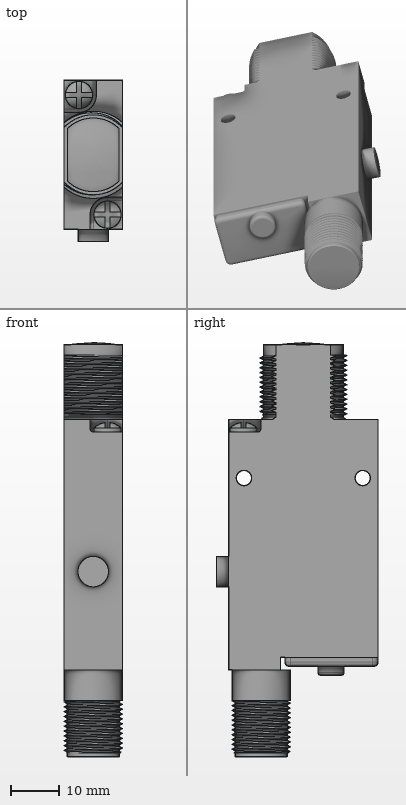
import cadquery as cq
import math

CONNECTOR_TIP_Z = 0.0
CONNECTOR_THREAD_BOTTOM_Z = 0.9
CONNECTOR_THREAD_TOP_Z = 11.7
BODY_BOTTOM_Z = 18.0
RECESS_Z = 20.6
BUTTON_Z = 38.3
MOUNTING_HOLE_Z = 57.6
BODY_TOP_Z = 69.7
NECK_THREAD_BOTTOM_Z = 70.6
NECK_THREAD_TOP_Z = 83.0
RIM_Z = 85.1
LENS_APEX_Z = 85.53

BODY_WIDTH = 12.09
BODY_LENGTH = 30.8
TOTAL_LENGTH = 33.32
FRONT_Y = -BODY_LENGTH / 2
BACK_Y = BODY_LENGTH / 2
RECESS_FRONT_Y = -4.7
MOUNTING_HOLE_DIAMETER = 3.1
MOUNTING_HOLE_SPACING = 24.5

BUTTON_DIAMETER = 6.3
BUTTON_PROTRUSION = TOTAL_LENGTH - BODY_LENGTH

THREAD_PITCH = 1.0
THREAD_BASE_WIDTH = 0.8 * THREAD_PITCH
THREAD_EMBED = 0.1
THREAD_CLEARANCE = 0.1
NECK_CORE_RADIUS = 8.25
NECK_THREAD_RADIUS = 9.0
NECK_FLARE = 0.5
NECK_FLARE_ANGLE = 45
CONNECTOR_RADIUS = 6.0
CONNECTOR_CORE_RADIUS = 5.4
CONNECTOR_TIP_CHAMFER = 0.2
CONNECTOR_THREAD_LEAD_IN = 0.5
CONNECTOR_Y = -8.7

LENS_RADIUS = 7.6
LENS_WIDTH = 10.6
LENS_EDGE_DEPTH = 0.6
LENS_SAG = LENS_APEX_Z - RIM_Z + LENS_EDGE_DEPTH

SCREW_RADIUS = 2.8
SCREW_X = 2.95
SCREW_Y = 12.35
SCREW_SIDE_HEIGHT = 0.85
SCREW_DOME_HEIGHT = 1.15
SCREW_SLOT_WIDTH = 1.05
POCKET_RADIUS = 3.6
POCKET_DEPTH = 2.6
POCKET_FLOOR_FILLET = 0.7

PLATE_FRONT_Y = -3.8
PLATE_WIDTH = 11.5
PLATE_THICKNESS = 1.85
PLATE_CORNER_FILLET = 1.1
PLATE_BOTTOM_FILLET = 0.85
KNOB_X = -2.8
KNOB_Y = 5.7
KNOB_RADIUS = 2.7
KNOB_HEIGHT = 1.85
KNOB_FILLET = 0.6


def block(x_size, y_min, y_max, z_min, z_max):
    """Box centred on X between the given Y and Z limits."""
    return (
        cq.Workplane("XY", origin=(0, (y_min + y_max) / 2, z_min))
        .box(x_size, y_max - y_min, z_max - z_min, centered=(True, True, False))
    )


def cylinder(radius, x, y, z_min, z_max):
    """Vertical cylinder between two heights."""
    return cq.Workplane("XY", origin=(x, y, z_min)).circle(radius).extrude(z_max - z_min)


def dome(base_radius, height, x, y, z):
    """Spherical cap standing on the given height."""
    rim_angle = math.atan2(height, base_radius)
    sphere_radius = base_radius / math.sin(2 * rim_angle)
    mid_x = sphere_radius * math.sin(rim_angle)
    mid_z = height - sphere_radius * (1 - math.cos(rim_angle))
    return (
        cq.Workplane("XZ")
        .moveTo(0, 0)
        .lineTo(base_radius, 0)
        .threePointArc((mid_x, mid_z), (0, height))
        .close()
        .revolve(360, (0, 0, 0), (0, 1, 0))
        .translate((x, y, z))
    )


def thread_ridge(core_radius, crest_radius, z_min, z_max, lead_in=0):
    """Helical V-shaped ridge about the Z axis, trimmed flat at both ends.

    A lead-in above zero also tapers the crest at the lower end.
    """
    start_z = z_min - THREAD_PITCH
    root_radius = core_radius - THREAD_EMBED
    height = z_max - z_min + 2 * THREAD_PITCH
    helix = cq.Wire.makeHelix(THREAD_PITCH, height, root_radius).translate(cq.Vector(0, 0, start_z))
    ridge = (
        cq.Workplane("XZ")
        .moveTo(root_radius, start_z - THREAD_BASE_WIDTH / 2)
        .lineTo(root_radius, start_z + THREAD_BASE_WIDTH / 2)
        .lineTo(crest_radius, start_z)
        .close()
        .sweep(cq.Workplane(helix), isFrenet=True)
    )
    envelope = cylinder(crest_radius + THREAD_CLEARANCE, 0, 0, z_min, z_max)
    if lead_in > 0:
        envelope = envelope.faces("<Z").chamfer(lead_in)
    return ridge.intersect(envelope)


def make_housing():
    body = block(BODY_WIDTH, FRONT_Y, BACK_Y, BODY_BOTTOM_Z, BODY_TOP_Z)
    recess = block(BODY_WIDTH, RECESS_FRONT_Y, BACK_Y, BODY_BOTTOM_Z, RECESS_Z)
    holes = (
        cq.Workplane("YZ", origin=(-BODY_WIDTH / 2, 0, MOUNTING_HOLE_Z))
        .pushPoints([(-MOUNTING_HOLE_SPACING / 2, 0), (MOUNTING_HOLE_SPACING / 2, 0)])
        .circle(MOUNTING_HOLE_DIAMETER / 2)
        .extrude(BODY_WIDTH)
    )
    button = (
        cq.Workplane("XZ", origin=(0, FRONT_Y, BUTTON_Z))
        .circle(BUTTON_DIAMETER / 2)
        .extrude(BUTTON_PROTRUSION)
    )
    return body.cut(recess).cut(holes).union(button)


def make_neck():
    """Threaded neck with two flats, flared at its foot and holding the domed lens."""
    core = cylinder(NECK_CORE_RADIUS, 0, 0, BODY_TOP_Z, RIM_Z)
    flare = (
        cq.Workplane("XY", origin=(0, 0, BODY_TOP_Z))
        .circle(NECK_CORE_RADIUS + NECK_FLARE)
        .extrude(NECK_FLARE, taper=NECK_FLARE_ANGLE)
    )
    ridge = thread_ridge(NECK_CORE_RADIUS, NECK_THREAD_RADIUS, NECK_THREAD_BOTTOM_Z, NECK_THREAD_TOP_Z)
    flats_half_length = NECK_THREAD_RADIUS + THREAD_CLEARANCE
    flats = block(BODY_WIDTH, -flats_half_length, flats_half_length, BODY_TOP_Z, RIM_Z)
    neck = core.union(ridge).union(flare).intersect(flats)

    lens_base_z = RIM_Z - LENS_EDGE_DEPTH
    lens_outline = block(LENS_WIDTH, -LENS_RADIUS, LENS_RADIUS, lens_base_z, LENS_APEX_Z)
    seat = cylinder(LENS_RADIUS, 0, 0, lens_base_z, RIM_Z).intersect(lens_outline)
    lens = dome(LENS_RADIUS, LENS_SAG, 0, 0, lens_base_z).intersect(lens_outline)
    return neck.cut(seat).union(lens)


def make_connector():
    """Round shoulder with a threaded plug below it."""
    shoulder = cylinder(CONNECTOR_RADIUS, 0, 0, CONNECTOR_THREAD_TOP_Z, BODY_BOTTOM_Z)
    core = (
        cylinder(CONNECTOR_CORE_RADIUS, 0, 0, CONNECTOR_TIP_Z, CONNECTOR_THREAD_TOP_Z)
        .faces("<Z")
        .chamfer(CONNECTOR_TIP_CHAMFER)
    )
    ridge = thread_ridge(
        CONNECTOR_CORE_RADIUS,
        CONNECTOR_RADIUS,
        CONNECTOR_THREAD_BOTTOM_Z,
        CONNECTOR_THREAD_TOP_Z,
        CONNECTOR_THREAD_LEAD_IN,
    )
    return core.union(shoulder).union(ridge).translate((0, CONNECTOR_Y, 0))


def make_screw_pocket():
    """Pocket in the +X, -Y top corner, rounded about the screw and open to both outer faces."""
    floor_z = BODY_TOP_Z - POCKET_DEPTH
    left_x = SCREW_X - POCKET_RADIUS
    back_y = -SCREW_Y + POCKET_RADIUS
    right_x = BODY_WIDTH
    front_y = -BODY_LENGTH
    return (
        cq.Workplane("XY", origin=(0, 0, floor_z))
        .moveTo(left_x, front_y)
        .lineTo(left_x, -SCREW_Y)
        .radiusArc((SCREW_X, back_y), POCKET_RADIUS)
        .lineTo(right_x, back_y)
        .lineTo(right_x, front_y)
        .close()
        .extrude(POCKET_DEPTH)
        .faces("<Z")
        .edges("not (>X or <Y)")
        .fillet(POCKET_FLOOR_FILLET)
    )


def make_screw():
    """Domed screw head with a cross slot, standing in the +X, -Y pocket."""
    floor_z = BODY_TOP_Z - POCKET_DEPTH
    dome_z = floor_z + SCREW_SIDE_HEIGHT
    side = cylinder(SCREW_RADIUS, SCREW_X, -SCREW_Y, floor_z, dome_z)
    cap = dome(SCREW_RADIUS, SCREW_DOME_HEIGHT, SCREW_X, -SCREW_Y, dome_z)
    slot = (
        cq.Workplane("XY", origin=(SCREW_X, -SCREW_Y, dome_z))
        .rect(2 * SCREW_RADIUS, SCREW_SLOT_WIDTH)
        .extrude(SCREW_DOME_HEIGHT)
    )
    cross_slot = slot.rotate((SCREW_X, -SCREW_Y, 0), (SCREW_X, -SCREW_Y, 1), 90)
    return side.union(cap.cut(slot).cut(cross_slot))


def add_screws(housing):
    """Cut both pockets and seat their screws, half a turn apart about Z."""
    for angle in (0, 180):
        pocket = make_screw_pocket().rotate((0, 0, 0), (0, 0, 1), angle)
        screw = make_screw().rotate((0, 0, 0), (0, 0, 1), angle)
        housing = housing.cut(pocket).union(screw)
    return housing


def make_cover_plate():
    """Rounded plate in the bottom recess with its knob."""
    plate_bottom_z = RECESS_Z - PLATE_THICKNESS
    plate = (
        block(PLATE_WIDTH, PLATE_FRONT_Y, BACK_Y, plate_bottom_z, RECESS_Z)
        .edges("|Z")
        .fillet(PLATE_CORNER_FILLET)
        .faces("<Z")
        .edges()
        .fillet(PLATE_BOTTOM_FILLET)
    )
    knob = (
        cylinder(KNOB_RADIUS, KNOB_X, KNOB_Y, plate_bottom_z - KNOB_HEIGHT, RECESS_Z)
        .faces("<Z")
        .edges()
        .fillet(KNOB_FILLET)
    )
    return plate.union(knob)


result = (
    add_screws(make_housing())
    .union(make_neck())
    .union(make_connector())
    .union(make_cover_plate())
)